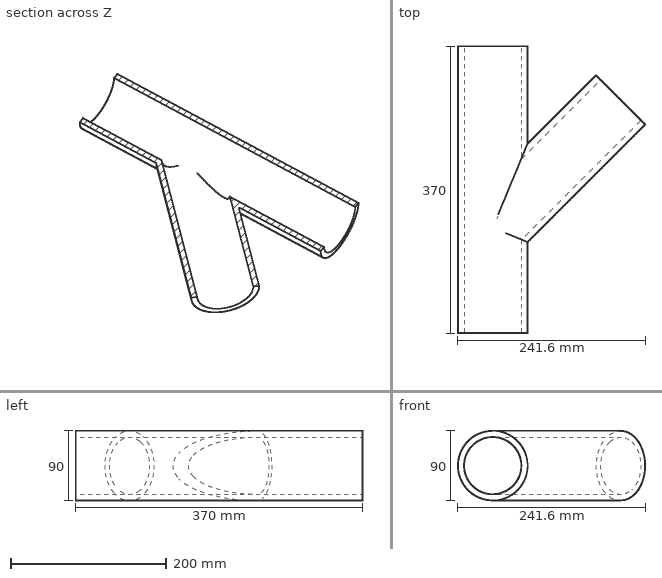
import cadquery as cq

OUTER_DIAMETER = 90.0
BORE_DIAMETER = 73.6
RUN_LENGTH = 370.0
CROSSING_TO_RUN_START = 136.0
BRANCH_LENGTH = 233.0
BRANCH_ANGLE = 45.0


def run_cylinder(diameter):
    """Cylinder along Y over the full length of the run."""
    start_plane = cq.Plane(origin=(0, -CROSSING_TO_RUN_START, 0), xDir=(1, 0, 0), normal=(0, 1, 0))
    return cq.Workplane(start_plane).circle(diameter / 2).extrude(RUN_LENGTH)


def branch_cylinder(diameter):
    """Cylinder from the crossing, leaning from +Y towards +X by the branch angle."""
    start_plane = cq.Plane(origin=(0, 0, 0), xDir=(1, 0, 0), normal=(0, 1, 0))
    cylinder = cq.Workplane(start_plane).circle(diameter / 2).extrude(BRANCH_LENGTH)
    return cylinder.rotate((0, 0, 0), (0, 0, 1), -BRANCH_ANGLE)


def wye(diameter):
    """Run and branch cylinders of one diameter, joined."""
    return run_cylinder(diameter).union(branch_cylinder(diameter))


result = wye(OUTER_DIAMETER).cut(wye(BORE_DIAMETER))